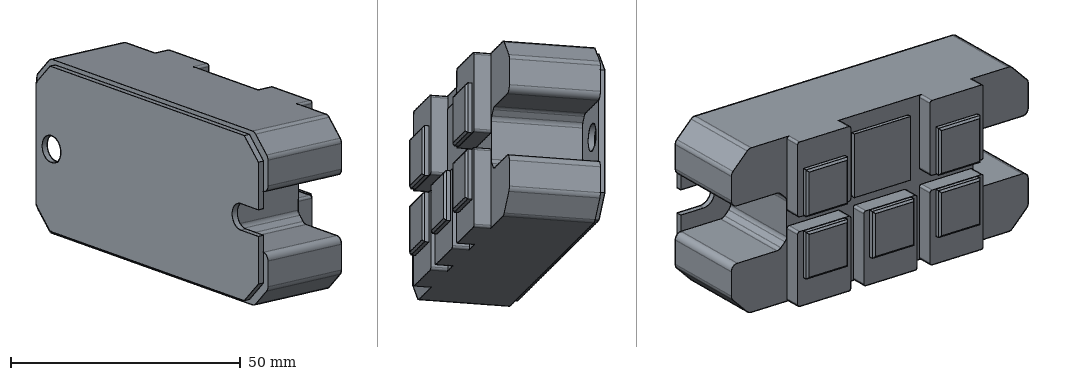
import cadquery as cq

body_length = 80.55
body_height = 39.55
total_depth = 27.3
body_corner_chamfer = 4.75
edge_radius = 1.5

plate_length = 77.5
plate_height = 37.5
plate_thickness = 1.45
plate_corner_chamfer = 4.9

body_back = 22.0

recess_width = 13.85
recess_depth = 15.0
recess_corner_chamfer = 2.0
recess_mouth_radius = 1.6

hole_width = 6.05
hole_length = 6.45
hole_x = -33.35
slot_center_x = 32.6

pad_pitch = 18.0
pad_width = 14.4
pad_row_gap = 3.55
pad_back = 25.85
pad_corner_radius = 0.6
pad_height = (body_height - pad_row_gap) / 2
pad_z = (body_height - pad_height) / 2

contact_size = 11.3
contact_bevel = 0.5
contact_inset = 0.1
contact_z = (pad_row_gap + contact_size) / 2 + contact_inset

label_size = 15.3
label_thickness = 1.0
label_bottom_z = 0.6
label_z = label_bottom_z + label_size / 2


def block(width, height, y_start, y_end, x=0.0, z=0.0):
    """Box centred at x, z that spans y_start to y_end."""
    depth = y_end - y_start
    return cq.Workplane("XY").box(width, depth, height).translate((x, y_start + depth / 2, z))


def make_plate():
    plate = block(plate_length, plate_height, 0, plate_thickness)
    return plate.edges("|Y").chamfer(plate_corner_chamfer)


def make_recess(side):
    """Cutter for one end recess; side is -1 for the -X end and +1 for the +X end."""
    center_x = side * (body_length - recess_depth) / 2
    recess = block(recess_depth, recess_width, plate_thickness, body_back, x=center_x)
    inner_edges = "|Y and >X" if side < 0 else "|Y and <X"
    return recess.edges(inner_edges).chamfer(recess_corner_chamfer)


def at_recess_mouth(edge):
    """True for an edge along Y where a recess side wall meets an end face."""
    center = edge.Center()
    on_end_face = abs(abs(center.x) - body_length / 2) < edge_radius / 2
    return on_end_face and abs(center.z) < recess_width / 2 + edge_radius / 2


def make_body():
    body = block(body_length, body_height, plate_thickness, body_back)
    body = body.edges("|Y").chamfer(body_corner_chamfer)
    for side in (-1, 1):
        body = body.cut(make_recess(side))
    other_edges = [edge for edge in body.edges("|Y").vals() if not at_recess_mouth(edge)]
    body = body.newObject(other_edges).fillet(edge_radius)
    mouth_edges = [edge for edge in body.edges("|Y").vals() if at_recess_mouth(edge)]
    return body.newObject(mouth_edges).fillet(recess_mouth_radius)


def make_terminal(x, row):
    """Pad with its contact block; row is +1 for the +Z row and -1 for the -Z row."""
    pad = block(pad_width, pad_height, body_back, pad_back, x, row * pad_z)
    pad = pad.edges("|Y").fillet(pad_corner_radius)
    contact = block(contact_size, contact_size, pad_back, total_depth, x, row * contact_z)
    return pad.union(contact.faces(">Y").chamfer(contact_bevel))


def make_hole():
    hole = cq.Workplane("XZ").center(hole_x, 0).slot2D(hole_length, hole_width)
    return hole.extrude(-plate_thickness)


def make_open_slot():
    round_end = cq.Workplane("XZ").center(slot_center_x, 0).circle(hole_width / 2)
    slot_length = body_length / 2 - slot_center_x
    straight = block(slot_length, hole_width, 0, plate_thickness, slot_center_x + slot_length / 2)
    return round_end.extrude(-plate_thickness).union(straight)


result = make_body().union(make_plate())

for column in (-1, 0, 1):
    rows = (-1,) if column == 0 else (-1, 1)
    for row in rows:
        result = result.union(make_terminal(column * pad_pitch, row))

label = block(label_size, label_size, body_back, body_back + label_thickness, z=label_z)
result = result.union(label).cut(make_hole()).cut(make_open_slot())